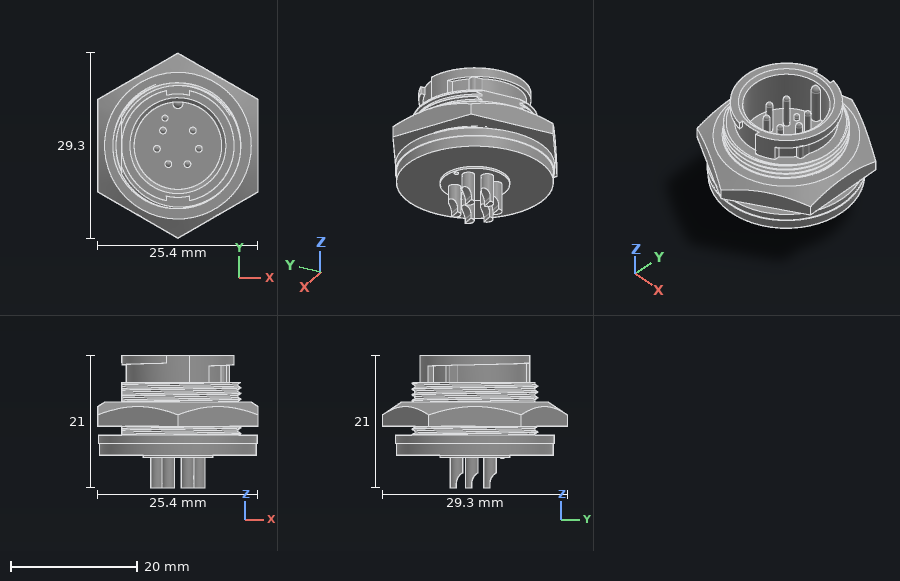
import cadquery as cq
import math


FLANGE_RADIUS = 12.6
FLANGE_THICKNESS = 1.34
REAR_FLANGE_RADIUS = 12.44
REAR_FLANGE_BOTTOM = -3.19
DISC_RADIUS = 5.53
DISC_BOTTOM = -3.54

BARREL_TOP = 8.36
THREAD_ROOT_RADIUS = 9.53
THREAD_CREST_RADIUS = 9.98
THREAD_PITCH = 0.905
THREAD_CREST_WIDTH = 0.06
THREAD_HALF_ANGLE = 30
THREAD_START = -0.635
THREAD_TURNS = 11
THREAD_OVERLAP = 0.1

SHELL_TOP = 12.65
SHELL_RADIUS = 8.9
GROOVE_FLOOR_RADIUS = 8.2
FLAT_X = -SHELL_RADIUS
BORE_RADIUS = 6.93
BORE_FLOOR = 4.6
BORE_CHAMFER_RADIUS = 7.6
BORE_CHAMFER_DEPTH = 0.57
SLOT_WIDTH = 3.62

LIP_PITCH = 1.16
LIP_ENTRY_Z = 11.44
GROOVE_SWEEP_START = 110
GROOVE_SWEEP_END = 270
GROOVE_END_X = -4.9
DETENT_FACE_X = -7.73
DETENT_SIDE_Y = 4.59
DETENT_RADIUS = 0.59

CONTACT_PAIRS = [(2.36, 2.4), (3.31, -0.49), (1.52, -2.92)]
CONTACT_POSITIONS = [(sign * x, y) for x, y in CONTACT_PAIRS for sign in (-1, 1)]
CONTACT_RADIUS = 0.53
CONTACT_DOME_Z = 9.97
KEY_POSITION = (0, 6.67)
KEY_RADIUS = 0.79
KEY_DOME_Z = 10.7
STUD_POSITION = (-2.04, 4.36)
STUD_RADIUS = 0.47
STUD_DOME_Z = 5.1
STUD_REAR_PROJECTION = 0.17
CUP_RADIUS = 1.0
CUP_BOTTOM = -8.38
CUP_RELIEF_TOP = -5.96
CUP_RELIEF_RADIUS = 2.0

NUT_WIDTH = 25.4
NUT_BOTTOM = 1.39
NUT_TOP = 5.26
NUT_TOP_RADIUS = 11.62
NUT_CORNER_CHAMFER = 2.05
NUT_BORE_RADIUS = 9.8
NUT_THREAD_RADIUS = 10.3


def cylinder(radius, bottom, top, position=(0, 0)):
    return cq.Workplane("XY", origin=(*position, bottom)).circle(radius).extrude(top - bottom)


def domed_rod(position, radius, bottom, dome_z):
    """Vertical rod with a hemispherical top centred at dome_z."""
    dome = cq.Workplane("XY", origin=(*position, dome_z)).sphere(radius)
    return cylinder(radius, bottom, dome_z, position).union(dome)


def threaded_rod(root_radius, crest_radius):
    """Rod longer than the barrel at both ends, carrying a helical V ridge."""
    base_radius = root_radius - THREAD_OVERLAP
    half_crest = THREAD_CREST_WIDTH / 2
    half_base = half_crest + (crest_radius - base_radius) * math.tan(math.radians(THREAD_HALF_ANGLE))
    ridge_length = THREAD_PITCH * THREAD_TURNS
    helix = cq.Wire.makeHelix(THREAD_PITCH, ridge_length, root_radius)
    ridge = (
        cq.Workplane("XZ")
        .polyline([(base_radius, -half_base), (crest_radius, -half_crest),
                   (crest_radius, half_crest), (base_radius, half_base)])
        .close()
        .sweep(cq.Workplane(helix), isFrenet=True)
        .translate((0, 0, THREAD_START))
    )
    rod = cylinder(root_radius, THREAD_START - THREAD_PITCH, THREAD_START + ridge_length + THREAD_PITCH)
    return rod.union(ridge)


def make_barrel():
    """Externally threaded cylinder with one flat."""
    keep_width = 2 * FLANGE_RADIUS
    keep = (
        cq.Workplane("XY")
        .box(keep_width, keep_width, BARREL_TOP, centered=(False, True, False))
        .translate((FLAT_X, 0, 0))
    )
    return threaded_rod(THREAD_ROOT_RADIUS, THREAD_CREST_RADIUS).intersect(keep)


def make_groove():
    """Cutter for one bayonet groove, with the end wall and detent bump left standing."""
    sweep_angle = GROOVE_SWEEP_END - GROOVE_SWEEP_START
    rise = LIP_PITCH * sweep_angle / 360
    depth = SHELL_TOP - BARREL_TOP
    helix = cq.Wire.makeHelix(LIP_PITCH, rise, BORE_RADIUS)
    groove = (
        cq.Workplane("XZ")
        .polyline([(BORE_RADIUS, -depth), (FLANGE_RADIUS, -depth), (FLANGE_RADIUS, 0), (BORE_RADIUS, 0)])
        .close()
        .sweep(cq.Workplane(helix), isFrenet=True)
        .translate((0, 0, LIP_ENTRY_Z - rise))
        .rotate((0, 0, 0), (0, 0, 1), GROOVE_SWEEP_START)
    )
    end_wall = (
        cq.Workplane("XY")
        .box(FLANGE_RADIUS, FLANGE_RADIUS, 2 * SHELL_TOP, centered=False)
        .translate((GROOVE_END_X, 0, 0))
    )
    floor_meeting_x = -math.sqrt(GROOVE_FLOOR_RADIUS**2 - DETENT_SIDE_Y**2)
    floor_meeting_y = math.sqrt(GROOVE_FLOOR_RADIUS**2 - DETENT_FACE_X**2)
    arc_shift = DETENT_RADIUS * (1 - math.sqrt(0.5))
    detent = (
        cq.Workplane("XY")
        .moveTo(DETENT_FACE_X, floor_meeting_y)
        .lineTo(DETENT_FACE_X, DETENT_SIDE_Y - DETENT_RADIUS)
        .threePointArc((DETENT_FACE_X + arc_shift, DETENT_SIDE_Y - arc_shift),
                       (DETENT_FACE_X + DETENT_RADIUS, DETENT_SIDE_Y))
        .lineTo(floor_meeting_x, DETENT_SIDE_Y)
        .lineTo(floor_meeting_x, floor_meeting_y)
        .close()
        .extrude(SHELL_TOP)
    )
    return groove.cut(end_wall).cut(detent)


def make_shell():
    """Bayonet shell with two entry slots and two grooves, half a turn apart."""
    cutter = (
        cq.Workplane("XY", origin=(0, 0, BARREL_TOP))
        .rect(SLOT_WIDTH, 2 * FLANGE_RADIUS)
        .extrude(SHELL_TOP - BARREL_TOP)
    )
    groove = make_groove()
    for angle in (0, 180):
        cutter = cutter.union(groove.rotate((0, 0, 0), (0, 0, 1), angle))
    cutter = cutter.cut(cylinder(GROOVE_FLOOR_RADIUS, 0, SHELL_TOP))
    return cylinder(SHELL_RADIUS, BARREL_TOP, SHELL_TOP).cut(cutter)


def make_bore():
    """Cutter for the socket bore with its chamfered mouth."""
    return (
        cq.Workplane("XZ")
        .polyline([(0, BORE_FLOOR), (BORE_RADIUS, BORE_FLOOR),
                   (BORE_RADIUS, SHELL_TOP - BORE_CHAMFER_DEPTH),
                   (BORE_CHAMFER_RADIUS, SHELL_TOP), (0, SHELL_TOP)])
        .close()
        .revolve(360, (0, 0), (0, 1))
    )


def make_solder_tail(position):
    """Rear end of a contact, with its +Y half scooped away towards the tip."""
    x, y = position
    scoop_outer_y = y + CUP_RELIEF_RADIUS
    scoop_end = CUP_RELIEF_TOP - math.sqrt(CUP_RELIEF_RADIUS**2 - (CUP_RELIEF_RADIUS - CUP_RADIUS) ** 2)
    scoop = (
        cq.Workplane("YZ", origin=(x - CUP_RADIUS, 0, 0))
        .moveTo(y, CUP_BOTTOM)
        .lineTo(y, scoop_end)
        .radiusArc((scoop_outer_y, scoop_end + CUP_RELIEF_RADIUS), CUP_RELIEF_RADIUS)
        .lineTo(scoop_outer_y, CUP_BOTTOM)
        .close()
        .extrude(2 * CUP_RADIUS)
    )
    return cylinder(CUP_RADIUS, CUP_BOTTOM, DISC_BOTTOM, position).cut(scoop)


def make_connector():
    body = cylinder(FLANGE_RADIUS, -FLANGE_THICKNESS, 0)
    body = body.union(cylinder(REAR_FLANGE_RADIUS, REAR_FLANGE_BOTTOM, -FLANGE_THICKNESS))
    body = body.union(cylinder(DISC_RADIUS, DISC_BOTTOM, REAR_FLANGE_BOTTOM))
    body = body.union(make_barrel()).union(make_shell()).cut(make_bore())
    for position in CONTACT_POSITIONS:
        body = body.union(domed_rod(position, CONTACT_RADIUS, BORE_FLOOR, CONTACT_DOME_Z))
        body = body.union(make_solder_tail(position))
    body = body.union(domed_rod(KEY_POSITION, KEY_RADIUS, BORE_FLOOR, KEY_DOME_Z))
    stud_rear_z = DISC_BOTTOM - STUD_REAR_PROJECTION + STUD_RADIUS
    stud_rear = cq.Workplane("XY", origin=(*STUD_POSITION, stud_rear_z)).sphere(STUD_RADIUS)
    return body.union(domed_rod(STUD_POSITION, STUD_RADIUS, BORE_FLOOR, STUD_DOME_Z)).union(stud_rear)


def make_nut():
    """Hexagonal nut, corners on the Y axis, chamfered on top and threaded inside."""
    corner_radius = NUT_WIDTH / math.sqrt(3)
    hexagon = (
        cq.Workplane("XY", origin=(0, 0, NUT_BOTTOM))
        .polygon(6, 2 * corner_radius)
        .extrude(NUT_TOP - NUT_BOTTOM)
        .rotate((0, 0, 0), (0, 0, 1), 90)
    )
    corner_z = NUT_TOP - NUT_CORNER_CHAMFER
    envelope = (
        cq.Workplane("XZ")
        .polyline([(0, NUT_BOTTOM), (corner_radius, NUT_BOTTOM), (corner_radius, corner_z),
                   (NUT_TOP_RADIUS, NUT_TOP), (0, NUT_TOP)])
        .close()
        .revolve(360, (0, 0), (0, 1))
    )
    return hexagon.intersect(envelope).cut(threaded_rod(NUT_BORE_RADIUS, NUT_THREAD_RADIUS))


connector = make_connector()
nut = make_nut()

result = cq.Compound.makeCompound([connector.val(), nut.val()])